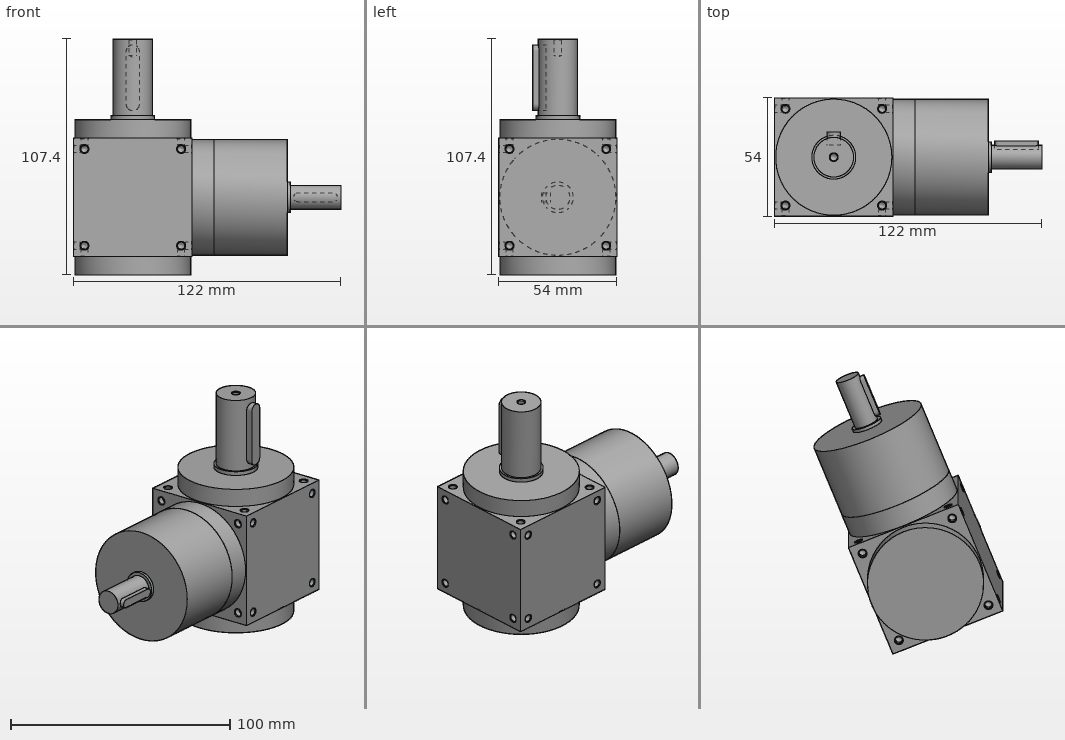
import cadquery as cq
import math


housing_side = 54.0
half_side = housing_side / 2

flange_diameter = 53.0
flange_height = 8.4
flange_face_z = half_side + flange_height

adapter_end_x = 37.0
motor_diameter = 52.8
motor_end_x = 70.4

output_collar_diameter = 20.0
output_collar_height = 1.8
output_shaft_diameter = 18.0
output_shaft_length = 36.6
output_tip_z = flange_face_z + output_shaft_length

input_collar_diameter = 14.0
input_collar_height = 1.5
input_shaft_diameter = 11.0
overall_length = 122.0
input_tip_x = overall_length - half_side

bore_diameter = 3.3
mouth_diameter = 4.0
drill_point_angle = 118.0
bolt_spacing = 44.0
bolt_hole_depth = 3.0
centre_hole_depth = 7.3

output_key_width = 6.0
output_key_length = 30.0
output_key_thickness = 6.0
output_key_top = 11.5
output_key_setback = 2.6
input_key_width = 4.0
input_key_length = 20.0
input_key_thickness = 4.0
input_key_top = 7.5
input_key_setback = 1.7


def cylinder(diameter, start, end, axis):
    """A cylinder on the X or Z axis, between two positions on that axis."""
    plane = {"X": "YZ", "Z": "XY"}[axis]
    return cq.Workplane(plane).workplane(offset=start).circle(diameter / 2).extrude(end - start)


def hole_cutter(depth):
    """A blind hole whose mouth is at the origin and which runs down to -Z."""
    bore_radius = bore_diameter / 2
    mouth_radius = mouth_diameter / 2
    chamfer = mouth_radius - bore_radius
    point_length = bore_radius / math.tan(math.radians(drill_point_angle / 2))
    return (
        cq.Workplane("XZ")
        .moveTo(0, 0)
        .lineTo(mouth_radius, 0)
        .lineTo(bore_radius, -chamfer)
        .lineTo(bore_radius, -depth)
        .lineTo(0, -depth - point_length)
        .close()
        .revolve(360, (0, 0, 0), (0, 1, 0))
    )


def face_hole_cutters():
    """The four bolt holes in the top face of a cube centred on the origin."""
    offset = bolt_spacing / 2
    cutters = cq.Workplane("XY")
    for x in (-offset, offset):
        for y in (-offset, offset):
            cutters = cutters.add(hole_cutter(bolt_hole_depth).translate((x, y, half_side)))
    return cutters


def key_blank(width, length, thickness):
    """A round-ended key along Z: its top is at y = 0 and its upper end is at z = 0."""
    return (
        cq.Workplane("XZ")
        .center(0, -length / 2)
        .slot2D(length, width, 90)
        .extrude(thickness)
    )


def make_output_key():
    blank = key_blank(output_key_width, output_key_length, output_key_thickness)
    return blank.translate((0, output_key_top, output_tip_z - output_key_setback))


def make_input_key():
    blank = key_blank(input_key_width, input_key_length, input_key_thickness)
    along_x = blank.rotate((0, 0, 0), (0, 1, 0), 90)
    return along_x.translate((input_tip_x - input_key_setback, input_key_top, 0))


def make_gearbox(keys):
    """The housing with its flanges, motor and shafts; the keys leave their keyways in it."""
    gearbox = cq.Workplane("XY").box(housing_side, housing_side, housing_side)

    gearbox = gearbox.union(cylinder(flange_diameter, -flange_face_z, flange_face_z, "Z"))
    gearbox = gearbox.union(cylinder(flange_diameter, 0, adapter_end_x, "X"))
    gearbox = gearbox.union(cylinder(motor_diameter, 0, motor_end_x, "X"))

    output_collar_z = flange_face_z + output_collar_height
    gearbox = gearbox.union(cylinder(output_collar_diameter, 0, output_collar_z, "Z"))
    gearbox = gearbox.union(cylinder(output_shaft_diameter, 0, output_tip_z, "Z"))

    input_collar_x = motor_end_x + input_collar_height
    gearbox = gearbox.union(cylinder(input_collar_diameter, 0, input_collar_x, "X"))
    gearbox = gearbox.union(cylinder(input_shaft_diameter, 0, input_tip_x, "X"))

    top_cutters = face_hole_cutters()
    for axis, angles in (((1, 0, 0), (0, 90, 180, 270)), ((0, 1, 0), (90, 270))):
        for angle in angles:
            for cutter in top_cutters.vals():
                gearbox = gearbox.cut(cq.Workplane(cutter.rotate((0, 0, 0), axis, angle)))

    gearbox = gearbox.cut(hole_cutter(centre_hole_depth).translate((0, 0, output_tip_z)))

    for key in keys:
        gearbox = gearbox.cut(key)
    return gearbox


output_key = make_output_key()
input_key = make_input_key()
gearbox = make_gearbox([output_key, input_key])

result = cq.Compound.makeCompound([gearbox.val(), output_key.val(), input_key.val()])